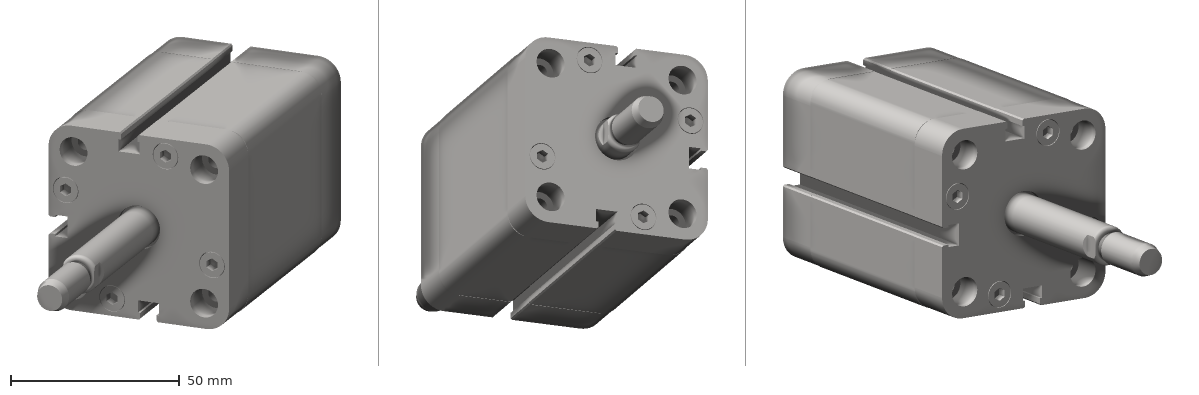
import cadquery as cq

cap_width = 58.0
barrel_width = 57.9
cap_length = 14.8
barrel_length = 56.2
body_length = barrel_length + 2 * cap_length
cap_corner_radius = 7.3
barrel_corner_radius = 6.5

slot_offset = 3.1
slot_mouth_width = 5.3
slot_mouth_chamfer = 0.45
slot_floor_width = 6.8
slot_lip_depth = 2.2
slot_depth = 6.0

mount_spacing = 42.0
mount_hole_diameter = 5.0
counterbore_diameter = 9.0
counterbore_depth = 9.1

screw_offset = 8.5
screw_reach = 23.5
screw_recess_diameter = 8.2
screw_head_diameter = 7.8
screw_recess_depth = 5.5
socket_diameter = 4.0
socket_depth = 3.0

total_length = 182.5
front_reach = 68.5
rear_reach = total_length - body_length - front_reach
rod_diameter = 12.0
rod_bore_diameter = 13.7
rod_bore_depth = 1.8
shoulder_radius = 1.3

thread_diameter = 10.0
thread_length = 19.2
tip_diameter = 8.0
tip_length = 3.0
thread_root_radius = 0.5
neck_diameter = 8.0
end_length = 22.0

flat_width = 10.0
flat_length = 4.4
flat_run_out = 1.1

SECTIONS = (
    (0, cap_length, cap_width, cap_corner_radius),
    (cap_length, barrel_length, barrel_width, barrel_corner_radius),
    (cap_length + barrel_length, cap_length, cap_width, cap_corner_radius),
)

CORNERS = ((-1, -1), (-1, 1), (1, -1), (1, 1))


def along_y(start_y):
    """Workplane at start_y whose positive direction is +Y, with local axes X and -Z."""
    return cq.Workplane("XZ", origin=(0, start_y, 0)).transformed(rotate=(180, 0, 0))


def cylinder(x, z, diameter, start_y, length):
    return along_y(start_y).center(x, -z).circle(diameter / 2).extrude(length)


def quarter_turns(shape):
    """Copies of a shape turned about the rod axis in quarter turns."""
    return [shape.rotate((0, 0, 0), (0, 1, 0), -90 * turn) for turn in range(4)]


def at_both_ends(shape):
    """A front-end feature and its mirror image at the rear of the body."""
    middle = (0, body_length / 2, 0)
    return [shape, shape.mirror("XZ", middle)]


def rounded_block(start_y, length, width, corner_radius):
    block = along_y(start_y).rect(width, width).extrude(length)
    return block.edges("|Y").fillet(corner_radius)


def slot(start_y, length, block_width):
    """Slot in the left face; its mouth is chamfered and it widens below its lips."""
    face_x = -block_width / 2
    mouth = slot_mouth_width / 2
    floor = slot_floor_width / 2
    upper_side = [
        (0, mouth + slot_mouth_chamfer),
        (slot_mouth_chamfer, mouth),
        (slot_lip_depth, mouth),
        (slot_lip_depth, floor),
        (slot_depth, floor),
    ]
    lower_side = [(depth, -half_width) for depth, half_width in reversed(upper_side)]
    plane = cq.Workplane("XZ", origin=(face_x, start_y, -slot_offset))
    return plane.polyline(upper_side + lower_side).close().extrude(-length)


def screw_recess(x, z):
    """Ring-shaped gap round a flush screw head, with the hex socket of the screw."""
    gap = cylinder(x, z, screw_recess_diameter, 0, screw_recess_depth)
    head = cylinder(x, z, screw_head_diameter, 0, screw_recess_depth)
    socket = along_y(0).center(x, -z).transformed(rotate=(0, 0, 90)).polygon(6, socket_diameter)
    return gap.cut(head).union(socket.extrude(socket_depth))


def rod():
    front_y = -front_reach
    rear_y = body_length + rear_reach
    middle_y = (front_y + rear_y) / 2
    rod_radius = rod_diameter / 2
    shoulder_y = front_y + end_length
    thread_back_y = front_y + thread_length
    front_half = (
        cq.Workplane("XY")
        .moveTo(0, front_y)
        .lineTo(tip_diameter / 2, front_y)
        .lineTo(thread_diameter / 2, front_y + tip_length)
        .lineTo(thread_diameter / 2, thread_back_y)
        .lineTo(neck_diameter / 2 + thread_root_radius, thread_back_y)
        .radiusArc((neck_diameter / 2, thread_back_y + thread_root_radius), thread_root_radius)
        .lineTo(neck_diameter / 2, shoulder_y)
        .lineTo(rod_radius - shoulder_radius, shoulder_y)
        .radiusArc((rod_radius, shoulder_y + shoulder_radius), -shoulder_radius)
        .lineTo(rod_radius, middle_y)
        .lineTo(0, middle_y)
        .close()
        .revolve(360, (0, 0, 0), (0, 1, 0))
    )
    flat_end_y = shoulder_y + flat_length
    flat_cut = (
        cq.Workplane("XY")
        .moveTo(flat_width / 2, shoulder_y)
        .lineTo(flat_width / 2, flat_end_y)
        .lineTo(rod_radius, flat_end_y + flat_run_out)
        .lineTo(rod_radius, shoulder_y)
        .close()
        .extrude(rod_radius, both=True)
    )
    front_half = front_half.cut(flat_cut).cut(flat_cut.mirror("YZ"))
    return front_half.union(front_half.mirror("XZ", (0, middle_y, 0)))


body = cq.Workplane("XY")
for start_y, length, width, corner_radius in SECTIONS:
    section = rounded_block(start_y, length, width, corner_radius)
    left_slot, top_slot, _, bottom_slot = quarter_turns(slot(start_y, length, width))
    body = body.add(section.cut(left_slot).cut(top_slot).cut(bottom_slot))
body = body.combine()

for side_x, side_z in CORNERS:
    hole_x = side_x * mount_spacing / 2
    hole_z = side_z * mount_spacing / 2
    body = body.cut(cylinder(hole_x, hole_z, mount_hole_diameter, 0, body_length))
    for counterbore in at_both_ends(cylinder(hole_x, hole_z, counterbore_diameter, 0, counterbore_depth)):
        body = body.cut(counterbore)

screw_places = (
    (screw_offset, screw_reach),
    (screw_reach, -screw_offset),
    (-screw_offset, -screw_reach),
    (-screw_reach, screw_offset),
)
for screw_x, screw_z in screw_places:
    for end_recess in at_both_ends(screw_recess(screw_x, screw_z)):
        body = body.cut(end_recess)

for rod_bore in at_both_ends(cylinder(0, 0, rod_bore_diameter, 0, rod_bore_depth)):
    body = body.cut(rod_bore)

result = body.union(rod())